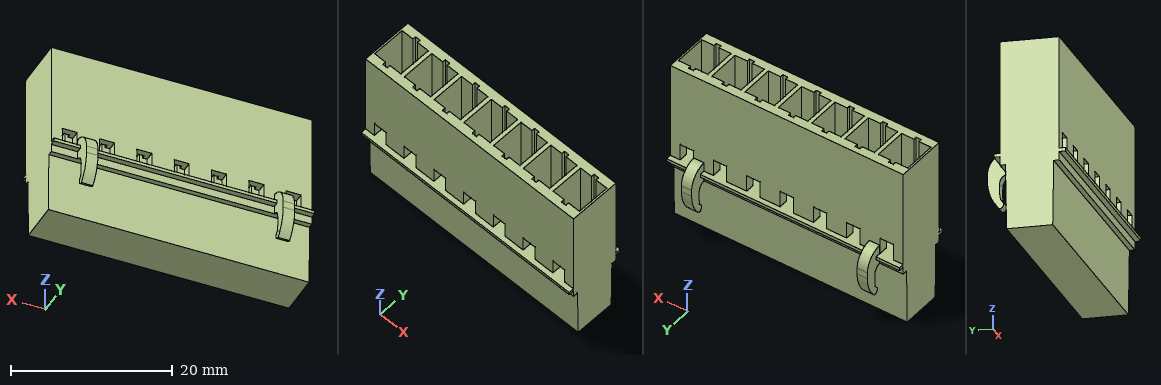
import cadquery as cq

length = 35.55
height = 24.55
body_width = 7.6
flange_reach = 0.8
flange_top = 9.95
flange_thickness = 0.45

plug_height = 8.4
plug_width_top = 6.2
plug_width_bottom = 5.95

pocket_count = 7
pocket_pitch = 5.1
pocket_length = 4.48
pocket_width = 4.9
key_length = 0.75
key_span = 5.83
window_length = 2.03
window_height = 2.5

hook_spacing = 26.8
hook_length = 1.55
overall_width = 11.0
hook_reach = overall_width - body_width - flange_reach
hook_top = 11.3
hook_shoulder_z = 8.6
hook_sweep_z = 7.65
hook_embed = 0.35


def block(size_x, size_y, bottom, top):
    """Box centred on X and Y between two heights."""
    box = cq.Workplane("XY").box(size_x, size_y, top - bottom, centered=(True, True, False))
    return box.translate((0, 0, bottom))


def make_housing():
    body = block(length, body_width, plug_height, height)
    flange = block(length, body_width + 2 * flange_reach, flange_top - flange_thickness, flange_top)
    plug = (
        cq.Workplane("YZ")
        .moveTo(-plug_width_bottom / 2, 0)
        .lineTo(plug_width_bottom / 2, 0)
        .lineTo(plug_width_top / 2, plug_height)
        .lineTo(-plug_width_top / 2, plug_height)
        .close()
        .extrude(length / 2, both=True)
    )
    return body.union(flange).union(plug)


def make_pocket():
    """Pocket with a key groove in each long wall and a window through both walls."""
    pocket = block(pocket_length, pocket_width, flange_top, height)
    key_grooves = block(key_length, key_span, flange_top, height)
    window = block(window_length, body_width, flange_top, flange_top + window_height)
    return pocket.union(key_grooves).union(window)


def make_hook():
    """Curved latch arm growing out of the body and curling downward to a rounded tip."""
    return (
        cq.Workplane("YZ", origin=(0, body_width / 2, 0))
        .moveTo(-hook_embed, hook_top)
        .lineTo(0, hook_top)
        .threePointArc((1.8, 10.5), (hook_reach, hook_shoulder_z))
        .lineTo(hook_reach, hook_sweep_z)
        .tangentArcPoint((1.1, 4.0), relative=False)
        .threePointArc((0.68, 4.12), (0.57, 4.85))
        .lineTo(0.9, 5.2)
        .threePointArc((1.03, 6.2), (1.0, 7.22))
        .threePointArc((0.68, 8.07), (0, plug_height))
        .lineTo(-hook_embed, plug_height)
        .close()
        .extrude(hook_length / 2, both=True)
    )


result = make_housing()

pocket = make_pocket()
for index in range(pocket_count):
    pocket_x = (index - (pocket_count - 1) / 2) * pocket_pitch
    result = result.cut(pocket.translate((pocket_x, 0, 0)))

hook = make_hook()
for side in (-1, 1):
    result = result.union(hook.translate((side * hook_spacing / 2, 0, 0)))